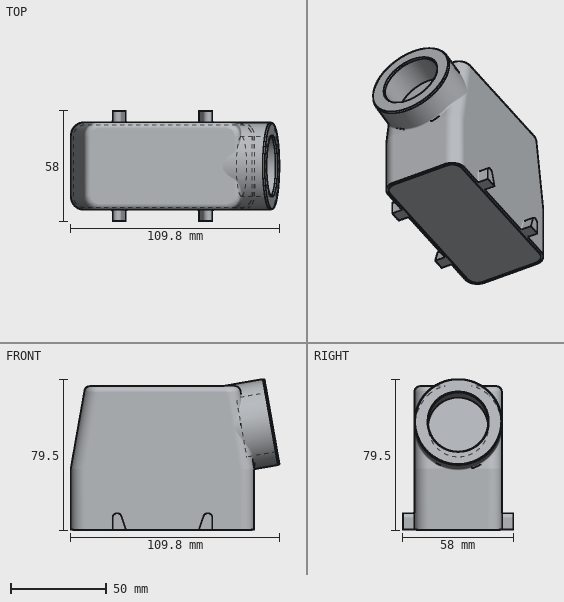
import cadquery as cq
import math

body_length = 96.4
body_width = 46.1
body_top = 75.8
shoulder_height = 32.5
taper_angle = 10.0
corner_radius = 7.2
top_edge_radius = 3.2

lip_height = 0.3
lip_inset = 1.3

entry_angle = 10.0
entry_diameter = 46.0
entry_x = 57.7
entry_z = 57.0
entry_length = 28.6
bore_diameter = 32.4
bore_depth = 16.5
rim_length = 1.0
rim_inset = 0.4
junction_radius = 0.7

lug_outer_x = 26.3
lug_foot_x = 19.2
lug_top = 8.9
lug_radius = 2.4
lug_span = 58.0
lug_root_radius = 0.5


def make_body():
    """Box with tapered ends, rounded corners and a rounded top edge."""
    half_length = body_length / 2
    taper_run = (body_top - shoulder_height) * math.tan(math.radians(taper_angle))
    outline = [
        (-half_length, lip_height),
        (half_length, lip_height),
        (half_length, shoulder_height),
        (half_length - taper_run, body_top),
        (taper_run - half_length, body_top),
        (-half_length, shoulder_height),
    ]
    block = cq.Workplane("XZ").polyline(outline).close().extrude(body_width / 2, both=True)
    rounded = block.edges("(not |Y) and (not |X)").fillet(corner_radius)
    return rounded.faces(">Z").edges().fillet(top_edge_radius)


def make_lip():
    """Thin rounded plate under the body."""
    return (
        cq.Workplane("XY")
        .rect(body_length - 2 * lip_inset, body_width - 2 * lip_inset)
        .extrude(lip_height)
        .edges("|Z")
        .fillet(corner_radius - lip_inset)
    )


def place_on_entry(shape):
    """Move a shape of revolution about Z so that its origin and axis match the entry end face."""
    tilted = shape.rotate((0, 0, 0), (0, 1, 0), 90 - entry_angle)
    return tilted.translate((entry_x, 0, entry_z))


def make_entry():
    """Round collar with a bevelled outer rim."""
    collar = cq.Workplane("XY").circle(entry_diameter / 2).extrude(-entry_length)
    return place_on_entry(collar.faces(">Z").chamfer(rim_length, rim_inset))


def make_bore():
    """Blind bore with a bevelled mouth."""
    mouth_radius = bore_diameter / 2
    profile = [
        (0, 0),
        (mouth_radius, 0),
        (mouth_radius - rim_inset, -rim_length),
        (mouth_radius - rim_inset, -bore_depth),
        (0, -bore_depth),
    ]
    return place_on_entry(cq.Workplane("XZ").polyline(profile).close().revolve(360, (0, 0), (0, 1)))


def make_lug(side):
    """Lug through the body: upright outer flank, round top, sloping inner flank; side is -1 or 1."""
    centre_x = lug_outer_x - lug_radius
    centre_z = lug_top - lug_radius
    foot_dx = lug_foot_x - centre_x
    foot_dz = lip_height - centre_z
    foot_distance = math.hypot(foot_dx, foot_dz)
    tangent_angle = math.atan2(foot_dz, foot_dx) - math.acos(lug_radius / foot_distance)
    tangent = (
        centre_x + lug_radius * math.cos(tangent_angle),
        centre_z + lug_radius * math.sin(tangent_angle),
    )
    profile = (
        cq.Workplane("XZ")
        .moveTo(side * lug_outer_x, lip_height)
        .lineTo(side * lug_outer_x, centre_z)
        .threePointArc((side * centre_x, lug_top), (side * tangent[0], tangent[1]))
        .lineTo(side * lug_foot_x, lip_height)
        .close()
    )
    return profile.extrude(lug_span / 2, both=True)


def blend_entry(hood):
    """Round the curve where the collar meets the body."""
    angle = math.radians(entry_angle)
    outermost = cq.selectors.DirectionMinMaxSelector(cq.Vector(math.cos(angle), 0, math.sin(angle)))
    collar_face = hood.faces("%CYLINDER").faces(outermost)
    junction = collar_face.edges("not %LINE").edges(-outermost)
    return junction.fillet(junction_radius)


def blend_lugs(hood):
    """Round the upright, curved and sloping edges where the lugs meet the side faces."""
    margin = 0.1
    for side_y in (-body_width / 2, body_width / 2):
        root_zone = cq.selectors.BoxSelector(
            (-lug_outer_x - margin, side_y - margin, lip_height + margin),
            (lug_outer_x + margin, side_y + margin, lug_top + margin),
        )
        hood = hood.edges(root_zone).fillet(lug_root_radius)
    return hood


hood = blend_entry(make_body().union(make_entry()))
for side in (-1, 1):
    hood = hood.union(make_lug(side))
hood = blend_lugs(hood)
result = hood.union(make_lip()).cut(make_bore())